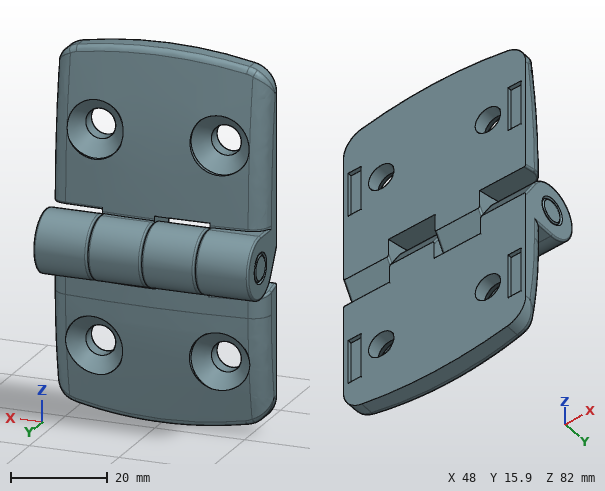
import cadquery as cq
import math

WIDTH = 48.0
HALF_WIDTH = WIDTH / 2
TOTAL_HEIGHT = 82.0
UPPER_LENGTH = 43.55
LOWER_LENGTH = TOTAL_HEIGHT - UPPER_LENGTH

BARREL_RADIUS = 7.0
AXIS_DEPTH = 8.9
KNUCKLE_COUNT = 4
KNUCKLE_PITCH = WIDTH / KNUCKLE_COUNT
KNUCKLE_GAP = 0.2
KNUCKLE_ROUND = 0.4
FLANK_ANGLE = 31.0

POCKET_HEIGHT = 6.15
POCKET_SLOPE = 13.0
POCKET_ROUND = 0.5

LEAF_THICKNESS = 7.95
END_ARC_RADIUS = 100.0
CORNER_RADIUS = 6.0
SIDE_ROUND = 4.0
CROWN_RADIUS = 200.1
END_ROUND = 1.5
UPPER_BACK_RADIUS = 200.1
UPPER_FLAT_HEIGHT = 7.4
LOWER_BACK_RADIUS = 119.7
LOWER_FLAT_HEIGHT = 12.1

HOLE_SPACING = 28.05
HOLE_DIAMETER = 6.65
HEAD_DIAMETER = 13.1
COUNTERSINK_START = 3.2
UPPER_HOLE_HEIGHT = 25.0
LOWER_HOLE_HEIGHT = 22.55
SLOT_SPACING = 42.1
SLOT_WIDTH = 3.4
SLOT_HEIGHT = 12.1
SLOT_DEPTH = 1.0

PIN_DIAMETER = 6.0
PIN_CHAMFER = 0.3
BORE_CHAMFER = 0.4

SELECT_MARGIN = 0.1


def plate_outline(length):
    """Front outline: straight sides, rounded corners and a shallow end arc, extruded to full depth."""
    arc_center = length - END_ARC_RADIUS
    inner_radius = END_ARC_RADIUS - CORNER_RADIUS
    corner_x = HALF_WIDTH - CORNER_RADIUS
    corner_z = arc_center + math.sqrt(inner_radius**2 - corner_x**2)
    arc_angle = math.asin(corner_x / inner_radius)
    tangent_x = END_ARC_RADIUS * math.sin(arc_angle)
    tangent_z = arc_center + END_ARC_RADIUS * math.cos(arc_angle)
    middle_angle = (math.pi / 2 - arc_angle) / 2
    middle_x = corner_x + CORNER_RADIUS * math.cos(middle_angle)
    middle_z = corner_z + CORNER_RADIUS * math.sin(middle_angle)
    return (
        cq.Workplane("XZ")
        .moveTo(-HALF_WIDTH, POCKET_HEIGHT)
        .lineTo(HALF_WIDTH, POCKET_HEIGHT)
        .lineTo(HALF_WIDTH, corner_z)
        .threePointArc((middle_x, middle_z), (tangent_x, tangent_z))
        .threePointArc((0, length), (-tangent_x, tangent_z))
        .threePointArc((-middle_x, middle_z), (-HALF_WIDTH, corner_z))
        .close()
        .extrude(-LEAF_THICKNESS)
    )


def crowned_block(length, back_radius, flat_height):
    """Block whose back curves down along its length and across its width, with rounded long edges."""

    def back_depth(height):
        rise = height - flat_height
        return LEAF_THICKNESS - back_radius + math.sqrt(back_radius**2 - rise**2)

    middle = (flat_height + length) / 2
    crown_axis = LEAF_THICKNESS - CROWN_RADIUS
    crown = (
        cq.Workplane("YZ")
        .moveTo(0, 0)
        .lineTo(LEAF_THICKNESS, 0)
        .lineTo(LEAF_THICKNESS, flat_height)
        .threePointArc((back_depth(middle), middle), (back_depth(length), length))
        .lineTo(0, length)
        .close()
        .revolve(360, (crown_axis, 0), (crown_axis, 1))
    )
    sides = cq.Workplane("XY").box(WIDTH, WIDTH, length, centered=(True, False, False))
    block = sides.intersect(crown)
    return block.faces("<X or >X").edges("not (<Y or <Z or >Z)").fillet(SIDE_ROUND)


def round_end(plate, length):
    """Round the back edge that runs along the end arc and around both corners."""
    end_region = cq.selectors.BoxSelector(
        (-WIDTH, 0, length - 2 * CORNER_RADIUS), (WIDTH, LEAF_THICKNESS, length)
    )
    return plate.edges("%BSPLINE").edges(end_region).fillet(END_ROUND)


def round_outer_pocket(plate):
    """Round the outer edge of the pocket wall that opens to the side of the leaf."""
    outer_edge = cq.selectors.BoxSelector(
        (HALF_WIDTH - SELECT_MARGIN, SELECT_MARGIN, POCKET_HEIGHT - SELECT_MARGIN),
        (HALF_WIDTH + SELECT_MARGIN, SIDE_ROUND, BARREL_RADIUS),
    )
    return plate.faces(">X").edges(outer_edge).edges("<Z").fillet(POCKET_ROUND)


def pocket_cutter(x_start, x_end):
    """Space below a sloped wall that clears one knuckle of the opposite leaf."""
    back = LEAF_THICKNESS + 0.8
    back_height = POCKET_HEIGHT + back * math.tan(math.radians(POCKET_SLOPE))
    return (
        cq.Workplane("YZ", origin=(x_start, 0, 0))
        .polyline([(0, POCKET_HEIGHT), (back, back_height), (back, 0), (0, 0)])
        .close()
        .extrude(x_end - x_start)
    )


def knuckle(x_start, x_end):
    """Barrel segment with a flat top and a flank tangent to the barrel, rounded on both faces."""
    flank = math.radians(FLANK_ANGLE)
    tangent_y = AXIS_DEPTH - BARREL_RADIUS * math.cos(flank)
    tangent_z = -BARREL_RADIUS * math.sin(flank)
    foot_z = tangent_z + tangent_y / math.tan(flank)
    body = (
        cq.Workplane("YZ", origin=(x_start, 0, 0))
        .moveTo(0, foot_z)
        .lineTo(tangent_y, tangent_z)
        .threePointArc((AXIS_DEPTH + BARREL_RADIUS, 0), (AXIS_DEPTH, BARREL_RADIUS))
        .lineTo(0, BARREL_RADIUS)
        .close()
        .extrude(x_end - x_start)
    )
    return body.faces("<X or >X").edges("not <Y").fillet(KNUCKLE_ROUND)


def screw_holes(height):
    """Two through holes with 90 degree countersinks that continue straight out of the back."""
    hole_radius = HOLE_DIAMETER / 2
    head_radius = HEAD_DIAMETER / 2
    head_start = COUNTERSINK_START + head_radius - hole_radius
    profile = (
        cq.Workplane("XY")
        .polyline([
            (0, 0),
            (hole_radius, 0),
            (hole_radius, COUNTERSINK_START),
            (head_radius, head_start),
            (head_radius, AXIS_DEPTH),
            (0, AXIS_DEPTH),
        ])
        .close()
    )
    hole = profile.revolve(360, (0, 0), (0, 1))
    spread = HOLE_SPACING / 2
    return hole.translate((-spread, 0, height)).union(hole.translate((spread, 0, height)))


def front_slots(height):
    """Two shallow upright slots in the mounting face, level with the screw holes."""
    return (
        cq.Workplane("XZ")
        .pushPoints([(-SLOT_SPACING / 2, height), (SLOT_SPACING / 2, height)])
        .rect(SLOT_WIDTH, SLOT_HEIGHT)
        .extrude(-SLOT_DEPTH)
    )


def pin_bore():
    """Full-width bore that widens in a chamfer at both ends."""
    bore_radius = PIN_DIAMETER / 2
    bore = cq.Workplane("YZ").center(AXIS_DEPTH, 0).circle(bore_radius).extrude(HALF_WIDTH, both=True)
    for side in (-1, 1):
        mouth = cq.Solid.makeCone(
            bore_radius + BORE_CHAMFER,
            bore_radius,
            BORE_CHAMFER,
            pnt=cq.Vector(side * HALF_WIDTH, AXIS_DEPTH, 0),
            dir=cq.Vector(-side, 0, 0),
        )
        bore = bore.union(cq.Workplane(mouth))
    return bore


def leaf(length, back_radius, flat_height, hole_height):
    """Hinge leaf reaching up from the axis, with knuckles in the first and third positions."""
    plate = plate_outline(length).intersect(crowned_block(length, back_radius, flat_height))
    plate = round_end(plate, length)
    half_gap = KNUCKLE_GAP / 2
    for start in (-KNUCKLE_PITCH, KNUCKLE_PITCH):
        pocket_end = start + KNUCKLE_PITCH + half_gap
        plate = plate.cut(pocket_cutter(start - half_gap, min(pocket_end, HALF_WIDTH)))
    plate = round_outer_pocket(plate)
    for start in (-HALF_WIDTH, 0):
        face = start if start == -HALF_WIDTH else start + half_gap
        plate = plate.union(knuckle(face, start + KNUCKLE_PITCH - half_gap))
    return plate.cut(screw_holes(hole_height)).cut(front_slots(hole_height)).cut(pin_bore())


def hinge_pin():
    """Plain pin through all knuckles, chamfered at both ends."""
    return (
        cq.Workplane("YZ")
        .center(AXIS_DEPTH, 0)
        .circle(PIN_DIAMETER / 2)
        .extrude(HALF_WIDTH, both=True)
        .faces("<X or >X")
        .chamfer(PIN_CHAMFER)
    )


upper_leaf = leaf(UPPER_LENGTH, UPPER_BACK_RADIUS, UPPER_FLAT_HEIGHT, UPPER_HOLE_HEIGHT)
lower_leaf = leaf(LOWER_LENGTH, LOWER_BACK_RADIUS, LOWER_FLAT_HEIGHT, LOWER_HOLE_HEIGHT).rotate(
    (0, 0, 0), (0, 1, 0), 180
)
pin = hinge_pin()

result = cq.Compound.makeCompound([upper_leaf.val(), lower_leaf.val(), pin.val()])